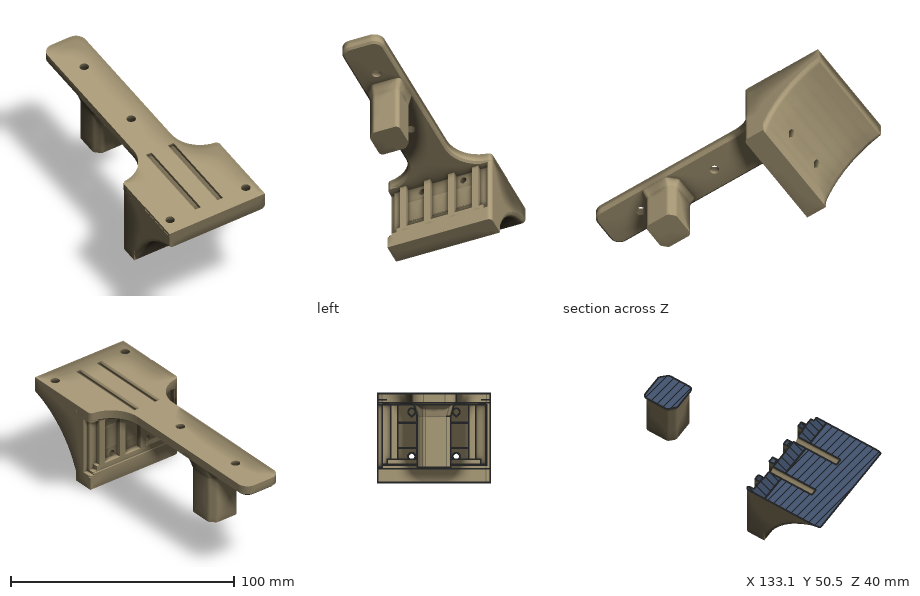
import cadquery as cq
LENGTH = 133.1
WIDTH = 50.5
HEIGHT = 40.0

PLATE_THICKNESS = 5.0
PLATE_CHAMFER = 0.9
ARM_WIDTH = 20.0
ARM_CORNER_RADIUS = 5.0
HEAD_X = 93.0
NECK_RADIUS = (WIDTH - ARM_WIDTH) / 2
CORNER_RADIUS = 2.0
PLATE_BOTTOM = HEIGHT - PLATE_THICKNESS

HOLE_DIAMETER = 4.3
ARM_HOLE_XS = (20.0, 59.9)
BLIND_HOLE_X = 125.3
BLIND_HOLE_SPACING = 40.0
BLIND_HOLE_DEPTH = 6.7

RIB_COUNT = 4
RIB_WIDTH = 3.0
RIB_PITCH = 11.65
RIB_SHIFT = 0.4
RIB_YS = [RIB_SHIFT + (i - (RIB_COUNT - 1) / 2) * RIB_PITCH for i in range(RIB_COUNT)]
SLOT_START_X = 83.5
SLOT_LENGTH = 42.0
SLOT_DEPTH = 1.6
SLOT_BEVEL = 0.8

STEP_START_X = 112.4
STEP_NOTCH_LENGTH = 1.2
STEP_HEIGHT = 1.6
STEP_DEPTH = 0.1

POST_X = 34.9
POST_SIZE = 15.0
POST_BOTTOM = HEIGHT - 33.0
POST_CHAMFER = 2.8
POST_CORNER_RADIUS = 2.0
FLARE_HEIGHT = 5.0
FLARE_SPREAD = 1.5

SEAM_X = 103.3
LIP_HEIGHT = 6.1
GUSSET_END_Z = 31.3
GUSSET_MID = (114.5, 19.5)

FIXING_DIAMETER = 3.2
FIXING_SPACING = 20.0
UPPER_FIXING_Z = HEIGHT - 8.3
LOWER_FIXING_Z = UPPER_FIXING_Z - FIXING_SPACING
UPPER_FIXING_END_X = 119.8

TAB_WIDTH = 4.0
TAB_TOP = HEIGHT - 2.8
TAB_INSET = 0.07
CAVITY_SIDE = 23.2
CAVITY_FLOOR_Z = 8.1
MOUTH_MARGIN = 0.4
PANEL_X = 96.4
ENTRY_FLOOR_Z = 6.9
ENTRY_BACK_X = 98.0
WINDOW_WIDTH = 32.6
WINDOW_DEPTH = 0.4
UPPER_WINDOW_BOTTOM = 27.0
LOWER_WINDOW_TOP = 15.3
BAND_MARGIN = 0.4
BAND_DEPTH = 0.1

RIB_FRONT_X = 93.7
BAR_LENGTH = 41.9
BAR_TOP = 10.5


def box(x, y, z):
    """Box spanning the given (low, high) pairs."""
    size = [high - low for low, high in (x, y, z)]
    return cq.Workplane("XY").box(*size, centered=False).translate((x[0], y[0], z[0]))


def make_plate():
    arm_y = ARM_WIDTH / 2
    edge_y = WIDTH / 2
    neck_x = HEAD_X - NECK_RADIUS
    diagonal = NECK_RADIUS * 0.5**0.5
    mid_x = neck_x + diagonal
    mid_y = edge_y - diagonal
    plate = (
        cq.Workplane("XY", origin=(0, 0, PLATE_BOTTOM))
        .moveTo(0, -arm_y)
        .lineTo(neck_x, -arm_y)
        .threePointArc((mid_x, -mid_y), (HEAD_X, -edge_y))
        .lineTo(LENGTH, -edge_y)
        .lineTo(LENGTH, edge_y)
        .lineTo(HEAD_X, edge_y)
        .threePointArc((mid_x, mid_y), (neck_x, arm_y))
        .lineTo(0, arm_y)
        .close()
        .extrude(PLATE_THICKNESS)
    )
    plate = plate.edges("|Z and <X").fillet(ARM_CORNER_RADIUS)
    head_corners = cq.selectors.BoxSelector(
        (HEAD_X - CORNER_RADIUS, -WIDTH, 0), (HEAD_X + CORNER_RADIUS, WIDTH, HEIGHT)
    )
    plate = plate.edges("|Z").edges(head_corners).fillet(CORNER_RADIUS)
    return plate.faces("<Z").chamfer(PLATE_CHAMFER)


def post_section(z, size, chamfer):
    """Rounded square: two opposite corners are also chamfered."""
    square = cq.Workplane("XY").box(size, size, FLARE_HEIGHT, centered=(True, True, False))
    square = square.edges("|Z").edges(">(1,-1,0) or <(1,-1,0)").chamfer(chamfer)
    square = square.edges("|Z").fillet(POST_CORNER_RADIUS)
    return square.faces("<Z").wires().val().moved(cq.Location(cq.Vector(POST_X, 0, z)))


def make_post():
    flare_z = PLATE_BOTTOM - FLARE_HEIGHT
    narrow = post_section(flare_z, POST_SIZE, POST_CHAMFER)
    wide = post_section(PLATE_BOTTOM, POST_SIZE + 2 * FLARE_SPREAD, POST_CHAMFER + FLARE_SPREAD)
    shaft = cq.Solid.extrudeLinear(narrow, [], cq.Vector(0, 0, POST_BOTTOM - flare_z))
    return cq.Workplane(shaft).union(cq.Workplane(cq.Solid.makeLoft([narrow, wide], True)))


def make_gusset():
    gusset = (
        cq.Workplane("XZ", origin=(0, WIDTH / 2, 0))
        .moveTo(SEAM_X, 0)
        .threePointArc(GUSSET_MID, (LENGTH, GUSSET_END_Z))
        .lineTo(LENGTH, HEIGHT)
        .lineTo(SEAM_X, HEIGHT)
        .close()
        .extrude(WIDTH)
    )
    return gusset.edges("%CIRCLE").fillet(CORNER_RADIUS)


def head_block(bottom, top):
    """Full-width block in front of the gusset."""
    return box((HEAD_X, SEAM_X), (-WIDTH / 2, WIDTH / 2), (bottom, top))


def head_column(bottom, top):
    """Head block with both front corners rounded."""
    return head_block(bottom, top).edges("|Z and <X").fillet(CORNER_RADIUS)


def make_lip():
    """Lip below the frame, rounded at its -Y front corner only."""
    return head_block(0, LIP_HEIGHT).edges("|Z and <X and <Y").fillet(CORNER_RADIUS)


def fixing_holes(z, end_x):
    """Pair of holes along X from the seam to end_x, each with a 90 degree point at the bottom."""
    radius = FIXING_DIAMETER / 2
    tangent = radius * 0.5**0.5
    half = FIXING_SPACING / 2
    start = cq.Workplane("YZ", origin=(PANEL_X, 0, 0))
    holes = cq.Workplane("XY")
    for y in (-half, half):
        hole = (
            start.moveTo(y - tangent, z - tangent)
            .threePointArc((y, z + radius), (y + tangent, z - tangent))
            .lineTo(y, z - 2 * tangent)
            .close()
            .extrude(end_x - PANEL_X)
        )
        holes = holes.add(hole)
    return holes.combine()


def top_slots():
    """Blind slots over the two middle ribs, each with a bevel along its -Y side."""
    slots = cq.Workplane("XY")
    floor_z = HEIGHT - SLOT_DEPTH
    for rib_y in RIB_YS[1:-1]:
        near = rib_y - RIB_WIDTH / 2
        far = rib_y + RIB_WIDTH / 2
        slot = (
            cq.Workplane("YZ", origin=(SLOT_START_X, 0, 0))
            .polyline([
                (near, HEIGHT),
                (near + SLOT_BEVEL, HEIGHT - SLOT_BEVEL),
                (near + SLOT_BEVEL, floor_z),
                (far, floor_z),
                (far, HEIGHT),
            ])
            .close()
            .extrude(SLOT_LENGTH)
        )
        slots = slots.add(slot)
    return slots.combine()


def edge_step():
    side = -WIDTH / 2
    heights = (HEIGHT - STEP_HEIGHT, HEIGHT)
    step = box((STEP_START_X, LENGTH), (side, side + STEP_DEPTH), heights)
    notch_end = STEP_START_X + STEP_NOTCH_LENGTH
    notch = box((STEP_START_X, notch_end), (side, side + 2 * STEP_DEPTH), heights)
    return step.union(notch)


def locating_tabs(outer):
    """Tabs at both ends of the frame's top, with side faces at the distance `outer` from the middle."""
    inner = WIDTH / 2 - TAB_WIDTH
    column = head_column(PLATE_BOTTOM, TAB_TOP)
    left = box((HEAD_X, SEAM_X), (inner, outer), (0, HEIGHT))
    right = box((HEAD_X, SEAM_X), (-outer, -inner), (0, HEIGHT))
    return column.intersect(left.union(right))


def make_bracket():
    bracket = make_plate().union(make_post()).union(make_gusset()).union(make_lip())
    through = cq.Workplane("XY").pushPoints([(x, 0) for x in ARM_HOLE_XS])
    bracket = bracket.cut(through.circle(HOLE_DIAMETER / 2).extrude(HEIGHT))
    half = BLIND_HOLE_SPACING / 2
    blind = cq.Workplane("XY", origin=(0, 0, HEIGHT)).pushPoints([(BLIND_HOLE_X, y) for y in (-half, half)])
    bracket = bracket.cut(blind.circle(HOLE_DIAMETER / 2).extrude(-BLIND_HOLE_DEPTH))
    bracket = bracket.cut(top_slots()).cut(edge_step()).cut(locating_tabs(WIDTH / 2))
    bracket = bracket.cut(fixing_holes(UPPER_FIXING_Z, UPPER_FIXING_END_X))
    return bracket.cut(fixing_holes(LOWER_FIXING_Z, LENGTH))


def make_frame():
    half = WIDTH / 2
    rim_z = PLATE_BOTTOM + PLATE_CHAMFER
    frame = head_column(LIP_HEIGHT, rim_z).cut(make_plate())
    frame = frame.union(locating_tabs(half - TAB_INSET))
    cavity_y = (-CAVITY_SIDE, CAVITY_SIDE)
    mouth_y = (-CAVITY_SIDE - MOUTH_MARGIN, CAVITY_SIDE)
    mouth_z = (CAVITY_FLOOR_Z - MOUTH_MARGIN, PLATE_BOTTOM)
    frame = frame.cut(box((HEAD_X, PANEL_X), cavity_y, (CAVITY_FLOOR_Z, PLATE_BOTTOM)))
    frame = frame.cut(box((HEAD_X, RIB_FRONT_X), mouth_y, mouth_z))
    frame = frame.cut(box((HEAD_X, ENTRY_BACK_X), (CAVITY_SIDE, half), (ENTRY_FLOOR_Z, PLATE_BOTTOM)))
    window_y = (-WINDOW_WIDTH / 2, WINDOW_WIDTH / 2)
    window_x = (PANEL_X, PANEL_X + WINDOW_DEPTH)
    margin_x = (PANEL_X, PANEL_X + BAND_DEPTH)
    frame = frame.cut(box(window_x, window_y, (UPPER_WINDOW_BOTTOM, PLATE_BOTTOM)))
    frame = frame.cut(box(margin_x, window_y, (UPPER_WINDOW_BOTTOM - BAND_MARGIN, PLATE_BOTTOM)))
    frame = frame.cut(box(window_x, window_y, (BAR_TOP, LOWER_WINDOW_TOP)))
    frame = frame.cut(box(margin_x, window_y, (BAR_TOP, LOWER_WINDOW_TOP + BAND_MARGIN)))
    frame = frame.cut(fixing_holes(UPPER_FIXING_Z, SEAM_X))
    return frame.cut(fixing_holes(LOWER_FIXING_Z, SEAM_X))


def make_rib(y):
    return box((RIB_FRONT_X, PANEL_X), (y - RIB_WIDTH / 2, y + RIB_WIDTH / 2), (BAR_TOP, PLATE_BOTTOM))


def make_bar():
    return box((RIB_FRONT_X, PANEL_X), (-BAR_LENGTH / 2, BAR_LENGTH / 2), (CAVITY_FLOOR_Z, BAR_TOP))


bracket = make_bracket()
frame = make_frame()
ribs = [make_rib(y) for y in RIB_YS]
bar = make_bar()

result = cq.Compound.makeCompound([
    bracket.val(),
    frame.val(),
    *[rib.val() for rib in ribs],
    bar.val(),
])